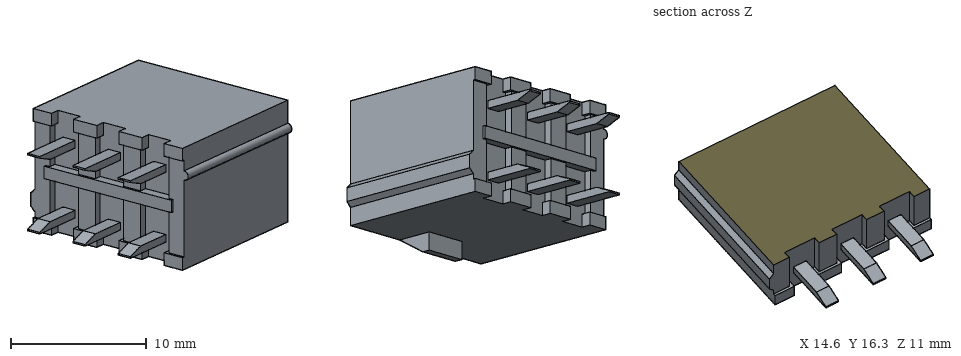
import cadquery as cq

OVERALL_WIDTH = 14.6
OVERALL_DEPTH = 16.3
OVERALL_HEIGHT = 11.0

SIDE_PROJECTION = 0.375
FOOT_HEIGHT = 1.4
PIN_LENGTH = 3.5
HOUSING_WIDTH = OVERALL_WIDTH - 2 * SIDE_PROJECTION
HOUSING_DEPTH = OVERALL_DEPTH - PIN_LENGTH
HOUSING_HEIGHT = OVERALL_HEIGHT - FOOT_HEIGHT
HALF_WIDTH = HOUSING_WIDTH / 2

STANDOFF = 0.2
CHANNEL_FLOOR = 0.8
CHANNEL_WIDTH = 2.63
CHANNEL_MOUTH = 2.05
PAD_HEIGHT = 1.0
BAR_WIDTH = 11.8
BAR_HEIGHT = 0.97
BAR_CENTRE_Z = HOUSING_HEIGHT / 2

PITCH = 4.2
COLUMN_X = [-PITCH, 0, PITCH]
PIN_WIDTH = 1.13
PIN_THICKNESS = 0.6
PIN_TIP_THICKNESS = 0.13
PIN_TAPER = 1.25
UPPER_PIN_TOP = HOUSING_HEIGHT - 2.0
ROW_SPACING = 5.5
LOWER_PIN_BOTTOM = UPPER_PIN_TOP - ROW_SPACING - PIN_THICKNESS

RIDGE_BOTTOM = 1.4
RIDGE_TOP = 3.2
BEAD_CENTRE_Z = HOUSING_HEIGHT - 2.2

FOOT_WIDTH = 3.45
FOOT_LENGTH = 3.05
FOOT_FLAT = 0.67


def box(x_range, y_range, z_range):
    """Axis-aligned block given by its lower and upper limits."""
    size = [limits[1] - limits[0] for limits in (x_range, y_range, z_range)]
    corner = (x_range[0], y_range[0], z_range[0])
    return cq.Workplane("XY").box(*size, centered=False).translate(corner)


def centred(middle, width):
    """Limits of a span of the given width about its middle."""
    return (middle - width / 2, middle + width / 2)


def make_housing():
    """Block with channels on the pin side, narrowed by pads at top and bottom."""
    across = (-HALF_WIDTH, HALF_WIDTH)
    pad_inner_z = HOUSING_HEIGHT - PAD_HEIGHT
    body = box(across, (STANDOFF, HOUSING_DEPTH), (0, HOUSING_HEIGHT))
    for x in COLUMN_X:
        channel = box(centred(x, CHANNEL_WIDTH), (0, CHANNEL_FLOOR), (PAD_HEIGHT, pad_inner_z))
        body = body.cut(channel)
    body = body.union(box(across, (0, CHANNEL_FLOOR), (0, PAD_HEIGHT)))
    body = body.union(box(across, (0, CHANNEL_FLOOR), (pad_inner_z, HOUSING_HEIGHT)))
    for x in COLUMN_X:
        mouth = box(centred(x, CHANNEL_MOUTH), (0, CHANNEL_FLOOR), (0, HOUSING_HEIGHT))
        body = body.cut(mouth)
    return body


def make_centre_bar():
    """Horizontal bar crossing all channels between the two contact rows."""
    return box(centred(0, BAR_WIDTH), (0, CHANNEL_FLOOR), centred(BAR_CENTRE_Z, BAR_HEIGHT))


def along_housing(profile):
    """Extrude an XZ profile over the full length of the housing side."""
    return profile.extrude(STANDOFF - HOUSING_DEPTH).translate((0, STANDOFF, 0))


def make_key_ridge():
    """Trapezoidal ridge with 45 degree flanks on the -X side."""
    outer_x = -HALF_WIDTH - SIDE_PROJECTION
    profile = (
        cq.Workplane("XZ")
        .moveTo(-HALF_WIDTH, RIDGE_BOTTOM)
        .lineTo(outer_x, RIDGE_BOTTOM + SIDE_PROJECTION)
        .lineTo(outer_x, RIDGE_TOP - SIDE_PROJECTION)
        .lineTo(-HALF_WIDTH, RIDGE_TOP)
        .close()
    )
    return along_housing(profile)


def make_bead():
    """Half-round bead on the +X side."""
    profile = cq.Workplane("XZ").center(HALF_WIDTH, BEAD_CENTRE_Z).circle(SIDE_PROJECTION)
    return along_housing(profile)


def make_foot():
    """Ramped latch foot under the end away from the pins."""
    front_y = HOUSING_DEPTH - FOOT_LENGTH
    return (
        cq.Workplane("YZ")
        .moveTo(HOUSING_DEPTH, 0)
        .lineTo(front_y, 0)
        .lineTo(front_y, -FOOT_HEIGHT)
        .lineTo(front_y + FOOT_FLAT, -FOOT_HEIGHT)
        .close()
        .extrude(FOOT_WIDTH / 2, both=True)
    )


def make_pin(x, straight_z, tapered_z, tip_z):
    """Flat pin whose tapered_z face slopes to tip_z at the tip; straight_z stays level."""
    return (
        cq.Workplane("YZ")
        .moveTo(CHANNEL_FLOOR, straight_z)
        .lineTo(-PIN_LENGTH, straight_z)
        .lineTo(-PIN_LENGTH, tip_z)
        .lineTo(PIN_TAPER - PIN_LENGTH, tapered_z)
        .lineTo(CHANNEL_FLOOR, tapered_z)
        .close()
        .extrude(PIN_WIDTH / 2, both=True)
        .translate((x, 0, 0))
    )


def make_upper_pin(x):
    """Pin of the upper row, tapered on its underside."""
    return make_pin(
        x, UPPER_PIN_TOP, UPPER_PIN_TOP - PIN_THICKNESS, UPPER_PIN_TOP - PIN_TIP_THICKNESS
    )


def make_lower_pin(x):
    """Pin of the lower row, tapered on its top."""
    return make_pin(
        x, LOWER_PIN_BOTTOM, LOWER_PIN_BOTTOM + PIN_THICKNESS, LOWER_PIN_BOTTOM + PIN_TIP_THICKNESS
    )


result = make_housing()
for feature in (make_centre_bar(), make_key_ridge(), make_bead(), make_foot()):
    result = result.union(feature)
for column_x in COLUMN_X:
    result = result.union(make_upper_pin(column_x)).union(make_lower_pin(column_x))